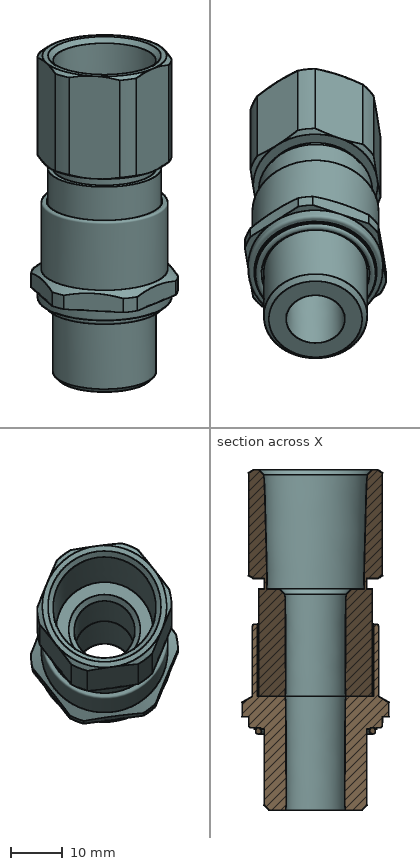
import cadquery as cq
import math

total_height = 65.75
hex_chamfer_slope = math.tan(math.radians(30))

thread_radius = 10.0
thread_chamfer = 1.0
flange_bottom = 15.9
flange_fillet = 0.5
lip_radius = 11.85
lip_height = 0.25
hex_bottom = 18.0
hex_top = 22.0
body_across_flats = 26.0
body_across_corners = 28.5
flange_radius = body_across_flats / 2
barrel_radius = 12.2
barrel_top = 35.95
barrel_fillet = 0.4
socket_radius = 11.2
socket_floor = hex_top

ring_bottom = 14.65
ring_outer_radius = 11.65
ring_top = flange_bottom
ring_tube_radius = (ring_top - ring_bottom) / 2
ring_mean_radius = ring_outer_radius - ring_tube_radius
ring_center_height = ring_bottom + ring_tube_radius

spigot_radius = 11.0
spigot_top = 42.75
neck_radius = 10.0
nut_bottom = 44.7
nut_across_flats = 24.0
nut_across_corners = 26.0
nut_face_radius = nut_across_flats / 2
lead_in_radius = 10.9
lead_in_chamfer = 1.0
bore_top_radius = lead_in_radius - lead_in_chamfer
bore_bottom_radius = 9.35

passage_bottom_radius = 5.65
passage_top_radius = 5.85
countersink_radius = 6.9
countersink_depth = countersink_radius - passage_top_radius


def revolve_profile(points):
    """Turn a closed (radius, height) outline about the Z axis."""
    return cq.Workplane("XZ").polyline(points).close().revolve(360, (0, 0, 0), (0, 1, 0))


def cylinder(radius, bottom, top):
    return cq.Workplane("XY").workplane(offset=bottom).circle(radius).extrude(top - bottom)


def hex_prism(across_flats, bottom, top):
    """Hexagon with two of its flats facing +X and -X."""
    sharp_diameter = across_flats / math.cos(math.radians(30))
    prism = cq.Workplane("XY").workplane(offset=bottom).polygon(6, sharp_diameter).extrude(top - bottom)
    return prism.rotate((0, 0, 0), (0, 0, 1), 30)


def make_passage():
    return revolve_profile([
        (0, 0),
        (passage_bottom_radius, 0),
        (passage_top_radius, spigot_top - countersink_depth),
        (countersink_radius, spigot_top),
        (0, spigot_top),
    ])


def make_body_hex():
    """Hexagon with rounded corners, its top sloping down from the barrel."""
    corner_radius = body_across_corners / 2
    corner_top = hex_top - (corner_radius - barrel_radius) * hex_chamfer_slope
    envelope = revolve_profile([
        (0, hex_bottom),
        (corner_radius, hex_bottom),
        (corner_radius, corner_top),
        (barrel_radius, hex_top),
        (0, hex_top),
    ])
    return hex_prism(body_across_flats, hex_bottom, hex_top).intersect(envelope)


def make_gland_body():
    thread = cylinder(thread_radius, 0, hex_bottom).faces("<Z").chamfer(thread_chamfer)
    flange = cylinder(flange_radius, flange_bottom, hex_bottom).faces("<Z").edges().fillet(flange_fillet)
    lip = cylinder(lip_radius, flange_bottom - lip_height, flange_bottom)
    barrel = cylinder(barrel_radius, hex_bottom, barrel_top).faces(">Z").edges().fillet(barrel_fillet)
    socket = cylinder(socket_radius, socket_floor, barrel_top)
    outside = thread.union(flange.union(lip)).union(make_body_hex()).union(barrel)
    return outside.cut(socket).cut(make_passage()).cut(make_sealing_ring()).solids()


def make_sealing_ring():
    profile = cq.Workplane("XZ").center(ring_mean_radius, ring_center_height).circle(ring_tube_radius)
    return profile.revolve(360, (-ring_mean_radius, 0, 0), (-ring_mean_radius, 1, 0))


def make_nut_hex():
    """Hexagon with rounded corners, chamfered at both ends."""
    corner_radius = nut_across_corners / 2
    corner_drop = (corner_radius - nut_face_radius) * hex_chamfer_slope
    envelope = revolve_profile([
        (0, nut_bottom),
        (nut_face_radius, nut_bottom),
        (corner_radius, nut_bottom + corner_drop),
        (corner_radius, total_height - corner_drop),
        (nut_face_radius, total_height),
        (0, total_height),
    ])
    return hex_prism(nut_across_flats, nut_bottom, total_height).intersect(envelope)


def make_coupling():
    spigot = cylinder(spigot_radius, socket_floor, spigot_top)
    neck = cylinder(neck_radius, spigot_top, nut_bottom)
    tapered_bore = revolve_profile([
        (0, spigot_top),
        (bore_bottom_radius, spigot_top),
        (bore_top_radius, total_height - lead_in_chamfer),
        (lead_in_radius, total_height),
        (0, total_height),
    ])
    outside = make_nut_hex().union(neck).union(spigot)
    return outside.cut(tapered_bore).cut(make_passage()).solids()


gland_body = make_gland_body()
sealing_ring = make_sealing_ring()
coupling = make_coupling()

result = cq.Compound.makeCompound([gland_body.val(), sealing_ring.val(), coupling.val()])